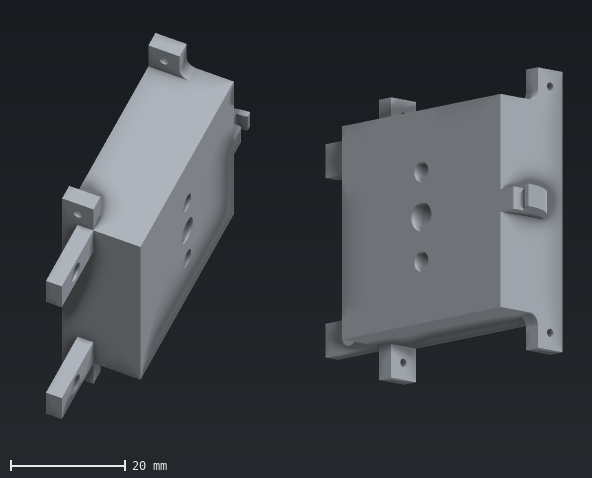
import cadquery as cq
import math

overall_width = 60.5

body_depth = 15.0
body_width = 40.0
body_height = 38.0

strip_depth = 6.0
strip_width = 3.0
strip_height = 50.0
strip_hole_diameter = 1.5
strip_hole_end_distance = 3.0
strip_fillet_radius = 2.0

lug_length = 13.55
lug_thickness = 3.0
lug_height = 6.0
lug_hole_diameter = 3.55
lug_hole_distance = 7.55

recess_diameter = 22.0
recess_depth = 3.0
centre_hole_diameter = 5.0
side_hole_diameter = 3.5
side_hole_offset = 8.0

hook_length = overall_width - body_width - lug_length
hook_start = 5.0
hook_thickness = 4.0
notch_depth = 2.05
notch_width = 2.25
hook_lip = 1.3
notch_corner_radius = 0.5

front_y = -body_width / 2
back_y = body_width / 2


def box_from(x, y, z, length, width, height):
    """Box that extends from its lowest corner."""
    return cq.Workplane("XY").box(length, width, height, centered=False).translate((x, y, z))


def make_strip(y_start):
    """Full-height strip with a small Y-direction hole near each end."""
    strip = box_from(0, y_start, -strip_height / 2, strip_depth, strip_width, strip_height)
    hole_z = strip_height / 2 - strip_hole_end_distance
    holes = (
        cq.Workplane("XZ", origin=(0, y_start + strip_width, 0))
        .pushPoints([(strip_depth / 2, hole_z), (strip_depth / 2, -hole_z)])
        .circle(strip_hole_diameter / 2)
        .extrude(strip_width)
    )
    return strip.cut(holes)


def make_strip_fillet(side):
    """Concave fillet between the +Y strip and the body; side is 1 for top, -1 for bottom."""
    radius = strip_fillet_radius
    base_z = body_height / 2
    arc_offset = radius * (1 - math.sqrt(0.5))
    return (
        cq.Workplane("XZ", origin=(0, back_y, 0))
        .moveTo(strip_depth, side * base_z)
        .lineTo(strip_depth + radius, side * base_z)
        .threePointArc(
            (strip_depth + arc_offset, side * (base_z + arc_offset)),
            (strip_depth, side * (base_z + radius)),
        )
        .close()
        .extrude(strip_width)
    )


def make_lug(z_start):
    """Rectangular lug with an X-direction hole."""
    lug_x = strip_depth - lug_thickness
    lug = box_from(lug_x, front_y - lug_length, z_start, lug_thickness, lug_length, lug_height)
    hole = (
        cq.Workplane("YZ", origin=(lug_x, 0, 0))
        .center(front_y - lug_hole_distance, z_start + lug_height / 2)
        .circle(lug_hole_diameter / 2)
        .extrude(lug_thickness)
    )
    return lug.cut(hole)


def make_hook():
    """Quarter-round latch hook, notched on the +X face."""
    hook_depth = body_depth - hook_start
    radius = (hook_depth**2 + hook_length**2) / (2 * hook_length)
    tip_y = back_y + hook_length
    half_angle = math.asin(hook_depth / radius) / 2
    arc_middle = (
        body_depth - radius * math.sin(half_angle),
        tip_y - radius * (1 - math.cos(half_angle)),
    )
    hook = (
        cq.Workplane("XY", origin=(0, 0, -hook_thickness / 2))
        .moveTo(hook_start, back_y)
        .threePointArc(arc_middle, (body_depth, tip_y))
        .lineTo(body_depth, back_y)
        .close()
        .extrude(hook_thickness)
    )
    notch_end = tip_y - hook_lip
    notch_start = notch_end - notch_width
    notch_floor = body_depth - notch_depth
    notch = box_from(
        notch_floor, notch_start, -hook_thickness / 2, notch_depth, notch_width, hook_thickness
    )
    hook = hook.cut(notch)
    mouth_edges = cq.selectors.BoxSelector(
        (body_depth - notch_depth / 2, notch_start - hook_lip / 2, -hook_thickness),
        (body_depth + notch_depth / 2, notch_end + hook_lip / 2, hook_thickness),
    )
    return hook.edges("|Z").edges(mouth_edges).fillet(notch_corner_radius)


result = box_from(0, front_y, -body_height / 2, body_depth, body_width, body_height)

for strip_y in (front_y, back_y - strip_width):
    result = result.union(make_strip(strip_y))

for fillet_side in (1, -1):
    result = result.union(make_strip_fillet(fillet_side))

for lug_z in (-body_height / 2, body_height / 2 - lug_height):
    result = result.union(make_lug(lug_z))

result = result.union(make_hook())

face = cq.Workplane("YZ")
result = result.cut(face.circle(recess_diameter / 2).extrude(recess_depth))
result = result.cut(face.circle(centre_hole_diameter / 2).extrude(body_depth))
side_holes = (
    face.pushPoints([(0, side_hole_offset), (0, -side_hole_offset)])
    .circle(side_hole_diameter / 2)
    .extrude(body_depth)
)
result = result.cut(side_holes)